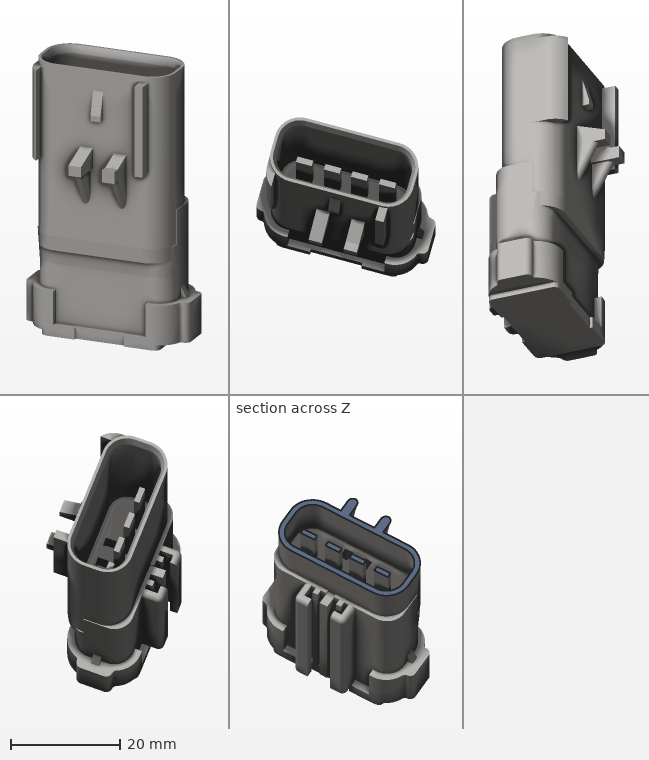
import cadquery as cq
import math

TOTAL_HEIGHT = 53.0

SHROUD_LENGTH = 27.0
SHROUD_WIDTH = 12.3
SHROUD_RADIUS = 4.7
SHROUD_FRONT = -SHROUD_WIDTH / 2
SHROUD_BACK = SHROUD_WIDTH / 2
SHROUD_FRONT_TANGENT = SHROUD_FRONT + SHROUD_RADIUS
SHROUD_BOTTOM = 16.85
SHROUD_TAPER_TOP = 19.7
SHROUD_TAPER = 0.15

RIM_THICKNESS = 0.55
WALL_THICKNESS = 1.15
LEAD_IN_HEIGHT = 1.5
CAVITY_FLOOR = 26.3
ISLAND_GAP = 0.3
ISLAND_HEIGHT = 1.0
ISLAND_ROUNDING = 0.8

BLADE_LENGTH = 3.0
BLADE_THICKNESS = 1.08
BLADE_Y = 1.35
BLADE_XS = (-7.88, -2.57, 2.57, 7.88)
BLADE_TOP = 40.0
WINDOW_LENGTH = 1.63
WINDOW_WIDTH = 2.1
WINDOW_X = 2.05
WINDOW_Y = -2.27
WINDOW_DEPTH = 4.0

BODY_LENGTH = 27.3
BODY_FRONT = -4.32
BODY_BACK = 6.86
BODY_FRONT_RADIUS = 3.7
BODY_BACK_RADIUS = 3.66
BODY_TOP = 26.3
SLOPE_BOTTOM = 13.7
SLOPE_DEPTH = 0.2

FLANGE_LENGTH = 29.7
FLANGE_FRONT = -5.72
FLANGE_BACK = 8.3
FLANGE_RADIUS = 4.95
FLANGE_BOTTOM = 1.03
FLANGE_TOP = 8.75
EAR_SPAN = 32.6
EAR_FRONT = -2.2
EAR_BACK = 4.7
EAR_RADIUS = 1.1
EAR_FRONT_ROOT_RADIUS = 0.6
EAR_BACK_ROOT_RADIUS = 1.1
FOOT_LENGTH = 23.5
FOOT_RADIUS = 1.2
RECESS_LENGTH = 18.4
RECESS_FLOOR = 2.25
NOTCH_LENGTH = 9.8
NOTCH_DEPTH = 0.55

RAMP_FRONT = 0.45
RAMP_BACK = 2.03
RAMP_REACH = 1.1
RAMP_HEIGHT = 2.05

CLIP_OUTER_X = 5.43
CLIP_ARM = 1.43
CLIP_TIP_X = 2.43
CLIP_BACK = 10.79
CLIP_HOOK = 1.4
CLIP_CORNER_RADIUS = 1.05
CLIP_TOP_RADIUS = 0.95
RIB_INNER_X = 1.98
RIB_OUTER_X = 3.03
RIB_BACK = 8.0
TAB_WIDTH = 1.6
TAB_BACK = 9.2
TAB_TOP = 26.1
TAB_SLOPE = 0.22

PRONG_WIDTH = 2.5
PRONG_TIP_Y = -11.72
PRONG_TIP_TOP = 35.95
LEFT_PRONG_X = -3.53
LEFT_PRONG_BOTTOM = 33.95
LEFT_PRONG_ROOT_TOP = 37.9
RIGHT_PRONG_X = 3.13
RIGHT_PRONG_BOTTOM = 33.58
RIGHT_PRONG_ROOT_TOP = 37.4
RIGHT_PRONG_FLAT = 1.55
GUSSET_WIDTH = 1.96
GUSSET_BOTTOM = 26.86
GUSSET_TOP_Y = -9.95

NIB_WIDTH = 2.0
NIB_Y = -7.45
NIB_TOP = 49.06
NIB_SLOPE_END = 44.6
NIB_BOTTOM = 43.5

RAIL_BOTTOM = 34.44
RAIL_TOP = 51.94
CURVED_RAIL_START_Y = -4.1
CURVED_RAIL_TIP = (-11.7, -7.78)
STRAIGHT_RAIL_INNER_X = 8.3
STRAIGHT_RAIL_OUTER_X = 9.9
STRAIGHT_RAIL_Y = -8.77


def box(x0, x1, y0, y1, z0, z1):
    """Block between two opposite corners."""
    return cq.Workplane("XY").box(x1 - x0, y1 - y0, z1 - z0, centered=False).translate((x0, y0, z0))


def rounded_block(length, front, back, radius, z0, z1):
    """Upright block with rounded vertical corners, centred on X = 0."""
    return box(-length / 2, length / 2, front, back, z0, z1).edges("|Z").fillet(radius)


def side_profile(points, x0, width):
    """Outline of (y, z) points extruded along +X from x0."""
    return cq.Workplane("YZ").polyline(points).close().extrude(width).translate((x0, 0, 0))


def mirrored(solid):
    """The solid together with its mirror image across X = 0."""
    return solid.union(solid.mirror("YZ"))


def make_shroud():
    straight = rounded_block(
        SHROUD_LENGTH, SHROUD_FRONT, SHROUD_BACK, SHROUD_RADIUS, SHROUD_TAPER_TOP, TOTAL_HEIGHT
    )
    height = SHROUD_TAPER_TOP - SHROUD_BOTTOM
    angle = math.degrees(math.atan(SHROUD_TAPER / height))
    skirt = (
        straight.faces("<Z").wires().toPending().workplane()
        .extrude(height, taper=angle, combine=False)
    )
    return straight.union(skirt)


def make_body():
    """Lower body, whose front corners flare out towards the shroud but stay within its sides."""
    half_length = BODY_LENGTH / 2
    body = box(-half_length, half_length, BODY_FRONT, BODY_BACK, FLANGE_BOTTOM, BODY_TOP)
    body = body.edges("|Z and <Y").fillet(BODY_FRONT_RADIUS)
    body = body.edges("|Z and >Y").fillet(BODY_BACK_RADIUS)
    flare_angle = math.degrees(math.atan(SLOPE_DEPTH / (SHROUD_BOTTOM - SLOPE_BOTTOM)))
    flare = rounded_block(BODY_LENGTH, BODY_FRONT, BODY_BACK, BODY_FRONT_RADIUS, SLOPE_BOTTOM, BODY_TOP)
    flare = (
        flare.faces("<Z").wires().toPending().workplane(invert=True)
        .extrude(SHROUD_TAPER_TOP - SLOPE_BOTTOM, taper=-flare_angle, combine=False)
    )
    within_sides = box(-half_length, half_length, SHROUD_FRONT, 0, SLOPE_BOTTOM, SHROUD_TAPER_TOP)
    shoulder = box(-half_length, half_length, SHROUD_FRONT_TANGENT, 0, SHROUD_TAPER_TOP, BODY_TOP)
    return body.union(flare.intersect(within_sides)).union(shoulder)


def round_ear_roots(flange, y, radius):
    """Round the inner corners where the ear faces at the given Y meet the flange."""
    slack = 0.1
    roots = cq.selectors.BoxSelector((-EAR_SPAN, y - slack, 0), (EAR_SPAN, y + slack, FLANGE_TOP))
    return flange.edges("|Z").edges(roots).fillet(radius)


def make_base():
    flange = rounded_block(
        FLANGE_LENGTH, FLANGE_FRONT, FLANGE_BACK, FLANGE_RADIUS, FLANGE_BOTTOM, FLANGE_TOP
    )
    ears = rounded_block(EAR_SPAN, EAR_FRONT, EAR_BACK, EAR_RADIUS, FLANGE_BOTTOM, FLANGE_TOP)
    feet = rounded_block(FOOT_LENGTH, FLANGE_FRONT, FLANGE_BACK, FOOT_RADIUS, 0, FLANGE_BOTTOM)
    flange = flange.union(ears)
    flange = round_ear_roots(flange, EAR_FRONT, EAR_FRONT_ROOT_RADIUS)
    flange = round_ear_roots(flange, EAR_BACK, EAR_BACK_ROOT_RADIUS)
    outline = rounded_block(FLANGE_LENGTH, FLANGE_FRONT, FLANGE_BACK, FLANGE_RADIUS, 0, FLANGE_BOTTOM)
    base = flange.union(feet.intersect(outline))

    half_recess = RECESS_LENGTH / 2
    half_notch = NOTCH_LENGTH / 2
    base = base.cut(box(-half_recess, half_recess, FLANGE_FRONT, BODY_FRONT, RECESS_FLOOR, FLANGE_TOP))
    base = base.cut(box(-half_recess, half_recess, BODY_BACK, FLANGE_BACK, RECESS_FLOOR, FLANGE_TOP))
    front_notch = FLANGE_FRONT + NOTCH_DEPTH
    back_notch = FLANGE_BACK - NOTCH_DEPTH
    base = base.cut(box(-half_notch, half_notch, FLANGE_FRONT, front_notch, 0, RECESS_FLOOR))
    return base.cut(box(-half_notch, half_notch, back_notch, FLANGE_BACK, 0, RECESS_FLOOR))


def make_side_ramps():
    side = BODY_LENGTH / 2
    ramp = (
        cq.Workplane("XZ")
        .polyline([
            (0, FLANGE_TOP),
            (side + RAMP_REACH, FLANGE_TOP),
            (side, FLANGE_TOP + RAMP_HEIGHT),
            (0, FLANGE_TOP + RAMP_HEIGHT),
        ])
        .close()
        .extrude(RAMP_FRONT - RAMP_BACK)
        .translate((0, RAMP_FRONT, 0))
    )
    return mirrored(ramp)


def make_clips():
    inner_x = CLIP_OUTER_X - CLIP_ARM
    hook_y = CLIP_BACK - CLIP_HOOK
    clip = (
        cq.Workplane("XY", origin=(0, 0, RECESS_FLOOR))
        .moveTo(CLIP_OUTER_X, SHROUD_BACK)
        .lineTo(CLIP_OUTER_X, CLIP_BACK)
        .lineTo(CLIP_TIP_X, CLIP_BACK)
        .lineTo(CLIP_TIP_X, hook_y)
        .lineTo(inner_x, hook_y)
        .lineTo(inner_x, SHROUD_BACK)
        .close()
        .extrude(BODY_TOP - RECESS_FLOOR)
    )
    clip = clip.edges("|Z and >X and >Y").fillet(CLIP_CORNER_RADIUS)
    clip = clip.faces(">X").edges(">Z").fillet(CLIP_TOP_RADIUS)
    clear_of_shroud = box(0, CLIP_OUTER_X, SHROUD_BACK, BODY_BACK, RECESS_FLOOR, BODY_TOP)
    return mirrored(clip.cut(clear_of_shroud))


def make_back_ribs():
    rib = box(RIB_INNER_X, RIB_OUTER_X, SHROUD_BACK, RIB_BACK, RECESS_FLOOR, BODY_TOP)
    return mirrored(rib)


def add_tab(part):
    """Latch tab, let into a shallow notch in the top of the lower body."""
    half_width = TAB_WIDTH / 2
    root_top = TAB_TOP - TAB_SLOPE
    outline = [
        (SHROUD_BACK, root_top),
        (TAB_BACK, TAB_TOP),
        (TAB_BACK, RECESS_FLOOR),
        (SHROUD_BACK, RECESS_FLOOR),
    ]
    notch = box(-half_width, half_width, SHROUD_BACK, TAB_BACK, root_top, BODY_TOP)
    tab = side_profile(outline, -half_width, TAB_WIDTH)
    return part.cut(notch).union(tab)


def make_gusset(x0, top):
    """Web under a prong: a bar with a half-round lower side, rising steeply to meet the prong."""
    radius = GUSSET_WIDTH / 2
    run = GUSSET_TOP_Y - SHROUD_FRONT
    rise = top - GUSSET_BOTTOM
    along = cq.Vector(0, run, rise).normalized()
    start = cq.Vector(x0 + radius, SHROUD_FRONT, GUSSET_BOTTOM) - along * GUSSET_WIDTH
    section = cq.Plane(origin=start.toTuple(), xDir=(1, 0, 0), normal=along.toTuple())
    bar = (
        cq.Workplane(section)
        .moveTo(-radius, radius)
        .threePointArc((0, 0), (radius, radius))
        .lineTo(radius, rise)
        .lineTo(-radius, rise)
        .close()
        .extrude(2 * rise)
    )
    return bar.intersect(box(x0, x0 + GUSSET_WIDTH, PRONG_TIP_Y, SHROUD_FRONT, 0, top))


def make_prong(x0, gusset_x0, bottom, root_top, flat):
    """Arm with a sloping top and an optional flat at its tip, carried by a gusset."""
    arm = [
        (SHROUD_FRONT, bottom),
        (PRONG_TIP_Y, bottom),
        (PRONG_TIP_Y, PRONG_TIP_TOP),
        (SHROUD_FRONT, root_top),
    ]
    if flat > 0:
        arm.insert(3, (PRONG_TIP_Y + flat, PRONG_TIP_TOP))
    return side_profile(arm, x0, PRONG_WIDTH).union(make_gusset(gusset_x0, bottom))


def make_prongs():
    left = make_prong(LEFT_PRONG_X, LEFT_PRONG_X, LEFT_PRONG_BOTTOM, LEFT_PRONG_ROOT_TOP, 0)
    right_gusset_x = RIGHT_PRONG_X + PRONG_WIDTH - GUSSET_WIDTH
    right = make_prong(
        RIGHT_PRONG_X, right_gusset_x, RIGHT_PRONG_BOTTOM, RIGHT_PRONG_ROOT_TOP, RIGHT_PRONG_FLAT
    )
    return left.union(right)


def make_nib():
    outline = [
        (SHROUD_FRONT, NIB_TOP),
        (NIB_Y, NIB_SLOPE_END),
        (NIB_Y, NIB_BOTTOM),
        (SHROUD_FRONT, NIB_BOTTOM),
    ]
    return side_profile(outline, -NIB_WIDTH / 2, NIB_WIDTH)


def make_rails():
    side = -SHROUD_LENGTH / 2
    curved = (
        cq.Workplane("XY", origin=(0, 0, RAIL_BOTTOM))
        .moveTo(side, SHROUD_FRONT_TANGENT)
        .lineTo(side, CURVED_RAIL_START_Y)
        .tangentArcPoint(CURVED_RAIL_TIP, relative=False)
        .lineTo(CURVED_RAIL_TIP[0], SHROUD_FRONT_TANGENT)
        .close()
        .extrude(RAIL_TOP - RAIL_BOTTOM)
    )
    inner_y = SHROUD_FRONT + WALL_THICKNESS
    straight = box(
        STRAIGHT_RAIL_INNER_X, STRAIGHT_RAIL_OUTER_X, STRAIGHT_RAIL_Y, inner_y, RAIL_BOTTOM, RAIL_TOP
    )
    return curved.union(straight)


def cavity_block(inset, z0, z1):
    """Rounded block following the shroud outline at a given inset."""
    return rounded_block(
        SHROUD_LENGTH - 2 * inset,
        SHROUD_FRONT + inset,
        SHROUD_BACK - inset,
        SHROUD_RADIUS - inset,
        z0,
        z1,
    )


def cut_cavity(part):
    chamfer_width = WALL_THICKNESS - RIM_THICKNESS
    angle = math.degrees(math.atan(chamfer_width / LEAD_IN_HEIGHT))
    bore = cavity_block(WALL_THICKNESS, CAVITY_FLOOR - ISLAND_HEIGHT, TOTAL_HEIGHT)
    mouth = cavity_block(RIM_THICKNESS, TOTAL_HEIGHT, TOTAL_HEIGHT + LEAD_IN_HEIGHT)
    lead_in = (
        mouth.faces("<Z").wires().toPending().workplane()
        .extrude(LEAD_IN_HEIGHT, taper=angle, combine=False)
    )
    island = cavity_block(WALL_THICKNESS + ISLAND_GAP, CAVITY_FLOOR - ISLAND_HEIGHT, CAVITY_FLOOR)
    island = island.faces(">Z").edges().fillet(ISLAND_ROUNDING)
    return part.cut(bore).cut(lead_in).union(island)


def make_blades():
    return (
        cq.Workplane("XY", origin=(0, BLADE_Y, CAVITY_FLOOR - ISLAND_HEIGHT))
        .pushPoints([(x, 0) for x in BLADE_XS])
        .rect(BLADE_LENGTH, BLADE_THICKNESS)
        .extrude(BLADE_TOP - CAVITY_FLOOR + ISLAND_HEIGHT)
    )


def cut_windows(part):
    windows = (
        cq.Workplane("XY", origin=(0, WINDOW_Y, CAVITY_FLOOR))
        .pushPoints([(-WINDOW_X, 0), (WINDOW_X, 0)])
        .rect(WINDOW_LENGTH, WINDOW_WIDTH)
        .extrude(-WINDOW_DEPTH)
    )
    return part.cut(windows)


part = make_body().union(make_shroud()).union(make_base())
features = [
    make_side_ramps(),
    make_clips(),
    make_back_ribs(),
    make_prongs(),
    make_nib(),
    make_rails(),
]
for feature in features:
    part = part.union(feature)
part = add_tab(part)
part = cut_cavity(part)
part = part.union(make_blades())
result = cut_windows(part)